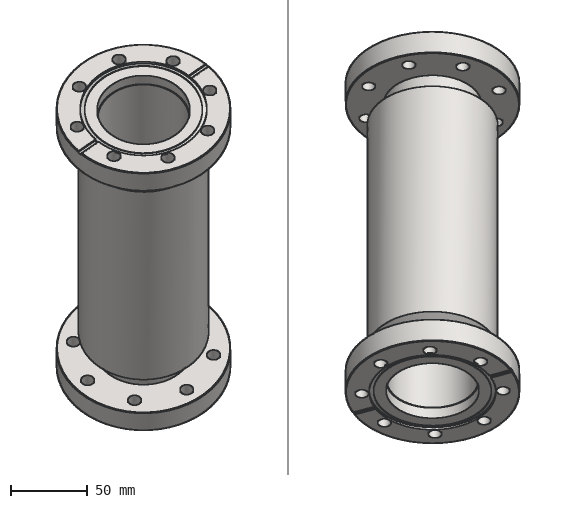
import cadquery as cq

LENGTH = 250.0

FLANGE_DIAMETER = 113.5
FLANGE_THICKNESS = 17.5
RIM_CHAMFER = 0.5
TOP_FLANGE_ANGLE = -2.0
BOTTOM_FLANGE_ANGLE = 15.5

RECESS_DIAMETER = 82.5
KNIFE_DIAMETER = 76.8
RECESS_DEPTH = 1.2
KNIFE_DEPTH = 0.8
GROOVE_DEPTH = 1.8

BOLT_COUNT = 8
BOLT_PITCH = 360.0 / BOLT_COUNT
BOLT_CIRCLE_DIAMETER = 92.0
BOLT_HOLE_DIAMETER = 8.8
LEAK_SLOT_WIDTH = 2.8
LEAK_SLOT_DEPTH = 1.0
LEAK_SLOT_ANGLE = 2.5 * BOLT_PITCH

TUBE_OUTER_DIAMETER = 64.0
TUBE_INNER_DIAMETER = 59.5
FLANGE_BORE_DIAMETER = 60.5
SOCKET_FLOOR = 9.5

JACKET_DIAMETER = 85.0
NECK_LENGTH = 10.0
CONE_LENGTH = 6.5


def make_flange():
    """Flange with its axis on Z, sealing side up at Z = 0 and one bolt hole on +X."""
    flange = (
        cq.Workplane("XY")
        .circle(FLANGE_DIAMETER / 2)
        .extrude(-FLANGE_THICKNESS)
        .edges()
        .chamfer(RIM_CHAMFER)
    )

    recess = (
        cq.Workplane("XZ")
        .polyline([
            (0, 0),
            (RECESS_DIAMETER / 2, 0),
            (RECESS_DIAMETER / 2, -GROOVE_DEPTH),
            (KNIFE_DIAMETER / 2, -KNIFE_DEPTH),
            (KNIFE_DIAMETER / 2, -RECESS_DEPTH),
            (0, -RECESS_DEPTH),
        ])
        .close()
        .revolve(360, (0, 0), (0, 1))
    )
    bore = cq.Workplane("XY").circle(FLANGE_BORE_DIAMETER / 2).extrude(-FLANGE_THICKNESS)
    socket = (
        cq.Workplane("XY", origin=(0, 0, -FLANGE_THICKNESS))
        .circle(TUBE_OUTER_DIAMETER / 2)
        .extrude(FLANGE_THICKNESS - SOCKET_FLOOR)
    )
    bolt_holes = (
        cq.Workplane("XY")
        .polarArray(BOLT_CIRCLE_DIAMETER / 2, 0, 360, BOLT_COUNT)
        .circle(BOLT_HOLE_DIAMETER / 2)
        .extrude(-FLANGE_THICKNESS)
    )
    leak_slots = (
        cq.Workplane("XY")
        .rect(FLANGE_DIAMETER, LEAK_SLOT_WIDTH)
        .extrude(-LEAK_SLOT_DEPTH)
        .cut(cq.Workplane("XY").circle(RECESS_DIAMETER / 2).extrude(-LEAK_SLOT_DEPTH))
        .rotate((0, 0, 0), (0, 0, 1), LEAK_SLOT_ANGLE)
    )
    return flange.cut(recess).cut(bore).cut(socket).cut(bolt_holes).cut(leak_slots)


def make_tube():
    """Straight tube running from one flange socket to the other."""
    return (
        cq.Workplane("XY", origin=(0, 0, SOCKET_FLOOR))
        .circle(TUBE_OUTER_DIAMETER / 2)
        .circle(TUBE_INNER_DIAMETER / 2)
        .extrude(LENGTH - 2 * SOCKET_FLOOR)
    )


def make_jacket():
    """Sleeve with conical ends, fitting closely around the tube."""
    tube_radius = TUBE_OUTER_DIAMETER / 2
    jacket_radius = JACKET_DIAMETER / 2
    jacket_start = FLANGE_THICKNESS + NECK_LENGTH
    jacket_end = LENGTH - jacket_start
    return (
        cq.Workplane("XZ")
        .polyline([
            (tube_radius, jacket_start),
            (jacket_radius, jacket_start + CONE_LENGTH),
            (jacket_radius, jacket_end - CONE_LENGTH),
            (tube_radius, jacket_end),
        ])
        .close()
        .revolve(360, (0, 0), (0, 1))
    )


flanges = []
for turn_over, angle, height in [
    (180, BOTTOM_FLANGE_ANGLE, 0),
    (0, TOP_FLANGE_ANGLE, LENGTH),
]:
    flanges.append(
        make_flange()
        .rotate((0, 0, 0), (1, 0, 0), turn_over)
        .rotate((0, 0, 0), (0, 0, 1), angle)
        .translate((0, 0, height))
    )

tube = make_tube()
jacket = make_jacket()

result = cq.Compound.makeCompound([*[flange.val() for flange in flanges], tube.val(), jacket.val()])